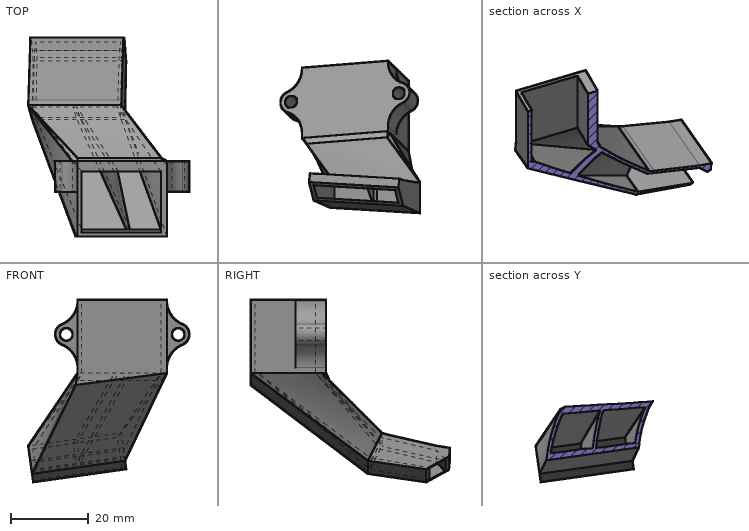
import cadquery as cq
import math

socket_width = 23.2
socket_depth = 19.6
socket_height = 19.0
inlet_width = 20.5
inlet_depth = 15.75
wall = 1.1

ear_thickness = 8.0
ear_radius = 2.9
ear_hole_diameter = 3.2
ear_hole_offset = 2.9
ear_hole_z = -9.0
ear_half_height = 8.6

nozzle_tilt = 8.0
nozzle_length = 24.35
nozzle_corner_x = -11.47
total_height = 47.3
total_depth = 51.65
heel = (30.4, 2.2)
toe = (45.45, 0.0)
lip_bottom = (51.4, 3.3)
lip_top = (total_depth, 5.6)
brow = (48.2, 6.15)
crown = (35.4, 9.1)
throat = (34.05, 9.5)

front_corner_drop = 3.1
front_corner_shift = 0.46
left_joint_depth = 17.9
right_joint_depth = 18.5
ridge_y = 20.4
ridge_z = -20.9
ridge_width = 21.7

floor_ledge = 0.75

vane_thickness = 1.0
vane_nose_radius = 0.35
vane_front_x = 13.25
vane_back_x = 10.0
vane_embed = 0.4

tilt = math.radians(nozzle_tilt)
nozzle_axis = cq.Vector(math.cos(tilt), 0, math.sin(tilt))
nozzle_plane = cq.Plane(
    origin=(nozzle_corner_x, 0, -total_height),
    xDir=(0, 1, 0),
    normal=nozzle_axis.toTuple(),
)


def nozzle_point(profile_point, distance):
    """Point of the nozzle profile, moved a distance along the nozzle axis."""
    y, height = profile_point
    return nozzle_plane.toWorldCoords((y, height, distance))


def step_towards(start, end, distance):
    """Point in the profile plane, a distance away from start on the way to end."""
    length = math.dist(start, end)
    return tuple(a + (b - a) * distance / length for a, b in zip(start, end))


def flat(*points):
    return cq.Face.makeFromWires(cq.Wire.makePolygon([cq.Vector(p) for p in points], close=True))


def ruled(start_a, end_a, start_b, end_b):
    """Ruled face between the straight edges a and b."""
    edge_a = cq.Edge.makeLine(cq.Vector(start_a), cq.Vector(end_a))
    edge_b = cq.Edge.makeLine(cq.Vector(start_b), cq.Vector(end_b))
    return cq.Face.makeRuledSurface(edge_a, edge_b)


def solid_from(faces):
    return cq.Workplane(obj=cq.Solid.makeSolid(cq.Shell.makeShell(faces)).fix())


def ruled_duct(start, end):
    """Solid with two flat four-cornered ends and ruled sides between them."""
    sides = []
    for i in range(len(start)):
        j = (i + 1) % len(start)
        sides.append(ruled(start[i], start[j], end[i], end[j]))
    return solid_from([flat(*start), flat(*end)] + sides)


def socket_body():
    return cq.Workplane().box(socket_width, socket_depth, socket_height, centered=False).translate(
        (0, 0, -socket_height)
    )


def left_ear():
    """Eye around the screw hole, blended into the socket wall by two concave arcs."""
    center_x = -ear_hole_offset
    blend_radius = (
        ear_half_height**2 + ear_hole_offset**2 - ear_radius**2
    ) / (2 * (ear_radius + ear_hole_offset))
    reach = ear_radius / (ear_radius + blend_radius)
    touch_x = center_x + (ear_hole_offset - blend_radius) * reach
    touch_dz = ear_half_height * reach
    blend_angle = math.atan2(ear_half_height - touch_dz, touch_x + blend_radius) / 2
    mid_x = -blend_radius + blend_radius * math.cos(blend_angle)
    mid_dz = ear_half_height - blend_radius * math.sin(blend_angle)
    ear = (
        cq.Workplane("XZ", origin=(0, socket_depth, ear_hole_z))
        .moveTo(0, ear_half_height)
        .threePointArc((mid_x, mid_dz), (touch_x, touch_dz))
        .threePointArc((center_x - ear_radius, 0), (touch_x, -touch_dz))
        .threePointArc((mid_x, -mid_dz), (0, -ear_half_height))
        .lineTo(wall, -ear_half_height)
        .lineTo(wall, ear_half_height)
        .close()
        .extrude(ear_thickness)
    )
    hole = (
        cq.Workplane("XZ", origin=(center_x, socket_depth, ear_hole_z))
        .circle(ear_hole_diameter / 2)
        .extrude(ear_thickness)
    )
    return ear.cut(hole)


def nozzle_body():
    profile = [heel, toe, lip_bottom, lip_top, brow, crown, throat]
    return cq.Workplane(nozzle_plane).polyline(profile).close().extrude(nozzle_length)


def transition_body():
    """Twisted duct skin from the bottom of the socket to the heel-throat end of the nozzle."""
    bottom = -socket_height
    front_left = (0, 0, bottom)
    front_right = (socket_width, 0, bottom)
    back_right = (socket_width, socket_depth, bottom)
    back_left = (0, socket_depth, bottom)
    left_joint = (0, left_joint_depth, bottom)
    right_joint = (socket_width, right_joint_depth, bottom)
    front_drop = (-front_corner_shift, 0, bottom - front_corner_drop)
    ridge_left = (0, ridge_y, ridge_z)
    ridge_right = (ridge_width, ridge_y, ridge_z)
    heel_left = nozzle_point(heel, 0)
    heel_right = nozzle_point(heel, nozzle_length)
    throat_left = nozzle_point(throat, 0)
    throat_right = nozzle_point(throat, nozzle_length)
    return solid_from(
        [
            flat(front_left, front_right, right_joint, back_right, back_left, left_joint),
            flat(front_left, front_right, front_drop),
            flat(front_left, front_drop, heel_left),
            ruled(front_left, left_joint, heel_left, throat_left),
            ruled(front_drop, front_right, heel_left, heel_right),
            ruled(front_right, right_joint, heel_right, throat_right),
            flat(right_joint, back_right, ridge_right),
            flat(right_joint, ridge_right, throat_right),
            ruled(back_left, back_right, ridge_left, ridge_right),
            flat(left_joint, back_left, ridge_left),
            flat(left_joint, ridge_left, throat_left),
            ruled(ridge_left, ridge_right, throat_left, throat_right),
            flat(heel_left, heel_right, throat_right, throat_left),
        ]
    )


def inlet_cavity():
    return cq.Workplane().box(inlet_width, inlet_depth, socket_height, centered=False).translate(
        (wall, wall, -socket_height)
    )


inner_heel = step_towards(heel, throat, wall)
inner_throat = step_towards(throat, heel, wall)


def transition_cavity():
    left = wall
    right = wall + inlet_width
    front = wall + floor_ledge
    back = wall + inlet_depth
    corners = [(left, front), (right, front), (right, back), (left, back)]
    start = [(x, y, -socket_height) for x, y in corners]
    end = [
        nozzle_point(inner_heel, wall),
        nozzle_point(inner_heel, nozzle_length - wall),
        nozzle_point(inner_throat, nozzle_length - wall),
        nozzle_point(inner_throat, wall),
    ]
    return ruled_duct(start, end)


def nozzle_cavity():
    """Nozzle passage, leaving through the sloped face between toe and lip."""
    profile = [
        inner_heel,
        step_towards(toe, lip_bottom, wall),
        step_towards(lip_bottom, toe, wall),
        (brow[0], brow[1] - wall),
        inner_throat,
    ]
    return (
        cq.Workplane(nozzle_plane)
        .workplane(offset=wall)
        .polyline(profile)
        .close()
        .extrude(nozzle_length - 2 * wall)
    )


def divider_vane():
    """Thin wall splitting the transition passage in two, embedded in its floor and ceiling."""
    half = vane_thickness / 2
    front = wall + floor_ledge - vane_embed
    back = wall + inlet_depth + vane_embed
    vane_heel = step_towards(heel, throat, wall - vane_embed)
    vane_throat = step_towards(throat, heel, wall - vane_embed)
    middle = nozzle_length / 2
    start = [
        (vane_front_x - half, front, -socket_height),
        (vane_front_x + half, front, -socket_height),
        (vane_back_x + half, back, -socket_height),
        (vane_back_x - half, back, -socket_height),
    ]
    end = [
        nozzle_point(vane_heel, middle - half),
        nozzle_point(vane_heel, middle + half),
        nozzle_point(vane_throat, middle + half),
        nozzle_point(vane_throat, middle - half),
    ]
    nose_edges = cq.selectors.BoxSelector(
        (0, front + vane_embed, -socket_height - vane_embed),
        (socket_width, back - vane_embed, -socket_height + vane_embed),
    )
    return ruled_duct(start, end).edges(nose_edges).fillet(vane_nose_radius)


ear = left_ear()
opposite_ear = ear.mirror("YZ").translate((socket_width, 0, 0))
result = (
    socket_body()
    .union(transition_body())
    .union(nozzle_body())
    .union(ear)
    .union(opposite_ear)
    .cut(inlet_cavity())
    .cut(transition_cavity())
    .cut(nozzle_cavity())
    .union(divider_vane())
)